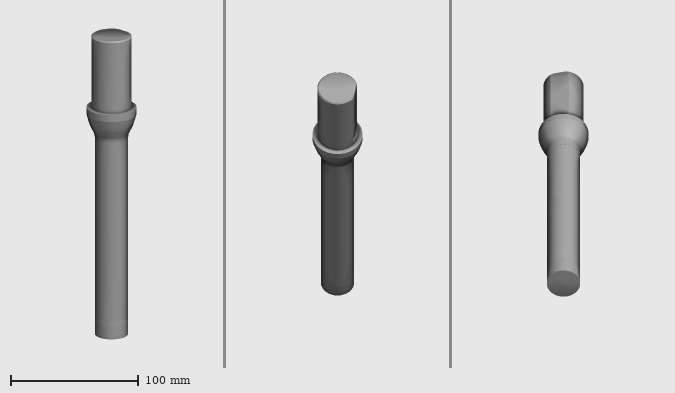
import cadquery as cq

total_length = 251.0
collar_radius = 39.5 / 2
shank_radius = 32.0 / 2
neck_radius = 26.4 / 2
stem_radius = 26.0 / 2

body_split_z = 99.6
guide_end_z = 12.5
guide_taper_end_z = 15.3
point_height = 0.8

collar_top_z = 191.0
collar_bottom_z = collar_top_z - 5.8
neck_length = 5.0
neck_top_z = 166.0
neck_bottom_z = neck_top_z - neck_length

blend_end_radius = 14.0
blend_end_z = 170.0
funnel_mid_radius = 16.5
funnel_mid_z = 175.0
neck_direction = (0, 1)
funnel_exit_direction = (0.25, 1)

shank_chamfer = 1.0
flat_offset = 14.0
flat_bottom_z = 195.8


def make_holder():
    """Upper body: stem, neck, funnel, collar and clamping shank."""
    funnel_points = [
        (blend_end_radius, blend_end_z),
        (funnel_mid_radius, funnel_mid_z),
        (collar_radius, collar_bottom_z),
    ]
    profile = (
        cq.Workplane("XZ")
        .moveTo(0, body_split_z)
        .lineTo(stem_radius, body_split_z)
        .lineTo(stem_radius, neck_bottom_z)
        .lineTo(neck_radius, neck_bottom_z)
        .lineTo(neck_radius, neck_top_z)
        .spline(funnel_points, tangents=[neck_direction, funnel_exit_direction], includeCurrent=True)
        .lineTo(collar_radius, collar_top_z)
        .lineTo(shank_radius, collar_top_z)
        .lineTo(shank_radius, total_length - shank_chamfer)
        .lineTo(shank_radius - shank_chamfer, total_length)
        .lineTo(0, total_length)
        .close()
    )
    return profile.revolve(360, (0, 0, 0), (0, 1, 0)).cut(make_flat_cutter())


def make_flat_cutter():
    """Flat on the +Y side of the shank, running out at 45 degrees at its lower end."""
    flat_depth = shank_radius - flat_offset
    return (
        cq.Workplane("YZ")
        .moveTo(flat_offset, total_length)
        .lineTo(flat_offset, flat_bottom_z)
        .lineTo(flat_offset + flat_depth, flat_bottom_z - flat_depth)
        .lineTo(flat_offset + flat_depth, total_length)
        .close()
        .extrude(shank_radius, both=True)
    )


def make_cutting_end():
    """Lower body: stem, short taper, guide land and shallow conical point."""
    profile = (
        cq.Workplane("XZ")
        .lineTo(neck_radius, point_height)
        .lineTo(neck_radius, guide_end_z)
        .lineTo(stem_radius, guide_taper_end_z)
        .lineTo(stem_radius, body_split_z)
        .lineTo(0, body_split_z)
        .close()
    )
    return profile.revolve(360, (0, 0, 0), (0, 1, 0))


holder = make_holder()
cutting_end = make_cutting_end()

result = cq.Compound.makeCompound([holder.val(), cutting_end.val()])